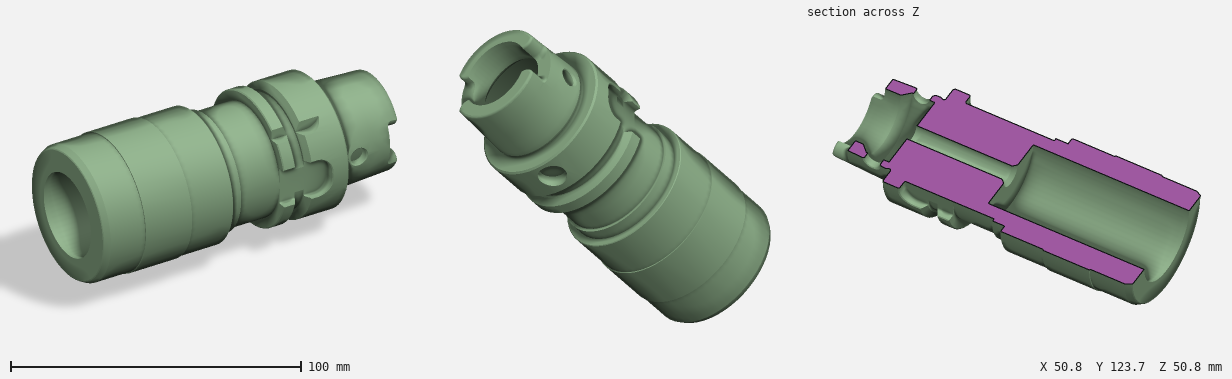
import cadquery as cq
import math

LENGTH = 123.7
SHANK_LENGTH = 25.0
NOSE_Y = SHANK_LENGTH - LENGTH

TAPER_END_RADIUS = 18.0
TAPER_BASE_RADIUS = 19.2
TAPER_BASE_Y = 2.0
TAPER_TIP_ROUND = 0.9
RELIEF_RADIUS = 18.7
RELIEF_BEVEL_LENGTH = 1.1
RELIEF_ROUND = 0.6

FLANGE_RADIUS = 25.0
FLANGE_LENGTH = 26.0
FLANGE_FRONT_BEVEL = 0.6
FLANGE_BACK_BEVEL = 0.4
GROOVE_RADIUS = 21.5
GROOVE_WALL_RADIUS = 22.4
GROOVE_Y = -18.0
GROOVE_WIDTH = 3.7
GROOVE_FLANK_ANGLE = 30.0

NECK_RADIUS = 21.0
COLLAR_RADIUS = 22.1
COLLAR_Y = -42.0
BODY_RADIUS = 25.0
BODY_Y = -46.9
BODY_BEVEL = 0.2
SLEEVE_RADIUS = 50.8 / 2
SLEEVE_START_Y = -63.8
SLEEVE_END_Y = -82.5
NOSE_BEVEL_LENGTH = 2.4
NOSE_BEVEL_DEPTH = 1.5
NOSE_EDGE_LENGTH = 0.2
NOSE_EDGE_DEPTH = 0.4

CLAMP_BORE_RADIUS = 15.6
CLAMP_BORE_DEPTH = 61.8
SHANK_BORE_RADIUS = 13.0
CHAMBER_RADIUS = 15.8
CHAMBER_Y = 11.4
CHAMBER_FLOOR_Y = 2.5
THROUGH_RADIUS = 3.4
THROUGH_MOUTH_RADIUS = 4.8
MOUTH_CONE_DEPTH = 1.5

SLOT_HALF_WIDTH = 5.2
SLOT_FLAT_X = 16.1
SLOT_LIP_RADIUS = 3.7
SLOT_FLOOR_ROUND = 1.5
SLOT_INNER_X = 8.7
DEEP_SLOT_DEPTH = 7.5
SHALLOW_SLOT_DEPTH = 4.6

COOLANT_RADIUS = 3.1
COOLANT_MOUTH_RADIUS = 3.7
COOLANT_MOUTH_DEPTH = 0.6
COOLANT_Y = 7.7

KEYWAY_FLOOR_X = NECK_RADIUS
KEYWAY_HALF_WIDTH = 7.0
KEYWAY_END_Y = -6.8
KEYWAY_CORNER_RADIUS = 5.6
KEYWAY_FLOOR_ROUND = 0.6
KEYWAY_EDGE_BEVEL = 0.4
RIM_INNER_X = 23.8

NOTCH_OFFSET = 15.7
NOTCH_HALF_WIDTH = 5.8
NOTCH_CORNER_RADIUS = 5.7
NOTCH_END_Y = -6.5
CHIP_RADIUS = 5.1
CHIP_Y = -7.0
CHIP_DEPTH = 4.6

OUTSIDE = 30.9
OPEN_END_RUN = 1.2


def revolve_about_y(outline):
    return outline.close().revolve(360, (0, 0, 0), (0, 1, 0))


def make_body():
    nose_face_radius = BODY_RADIUS - NOSE_BEVEL_DEPTH
    flank_run = (FLANGE_RADIUS - GROOVE_WALL_RADIUS) * math.tan(math.radians(GROOVE_FLANK_ANGLE))
    groove_top_y = GROOVE_Y + GROOVE_WIDTH / 2
    groove_bottom_y = GROOVE_Y - GROOVE_WIDTH / 2
    round_mid = RELIEF_ROUND * (1 - math.sqrt(0.5))

    outline = (
        cq.Workplane("XY")
        .moveTo(0, NOSE_Y)
        .lineTo(nose_face_radius, NOSE_Y)
        .lineTo(nose_face_radius + NOSE_EDGE_DEPTH, NOSE_Y + NOSE_EDGE_LENGTH)
        .lineTo(BODY_RADIUS, NOSE_Y + NOSE_BEVEL_LENGTH)
        .lineTo(BODY_RADIUS, SLEEVE_END_Y)
        .lineTo(SLEEVE_RADIUS, SLEEVE_END_Y)
        .lineTo(SLEEVE_RADIUS, SLEEVE_START_Y)
        .lineTo(BODY_RADIUS, SLEEVE_START_Y)
        .lineTo(BODY_RADIUS, BODY_Y - BODY_BEVEL)
        .lineTo(BODY_RADIUS - BODY_BEVEL, BODY_Y)
        .lineTo(COLLAR_RADIUS, BODY_Y)
        .lineTo(COLLAR_RADIUS, COLLAR_Y)
        .lineTo(NECK_RADIUS, COLLAR_Y)
        .lineTo(NECK_RADIUS, -FLANGE_LENGTH)
        .lineTo(FLANGE_RADIUS - FLANGE_BACK_BEVEL, -FLANGE_LENGTH)
        .lineTo(FLANGE_RADIUS, FLANGE_BACK_BEVEL - FLANGE_LENGTH)
        .lineTo(FLANGE_RADIUS, groove_bottom_y - flank_run)
        .lineTo(GROOVE_WALL_RADIUS, groove_bottom_y)
        .lineTo(GROOVE_RADIUS, groove_bottom_y)
        .lineTo(GROOVE_RADIUS, groove_top_y)
        .lineTo(GROOVE_WALL_RADIUS, groove_top_y)
        .lineTo(FLANGE_RADIUS, groove_top_y + flank_run)
        .lineTo(FLANGE_RADIUS, -FLANGE_FRONT_BEVEL)
        .lineTo(FLANGE_RADIUS - FLANGE_FRONT_BEVEL, 0)
        .lineTo(RELIEF_RADIUS + RELIEF_ROUND, 0)
        .threePointArc((RELIEF_RADIUS + round_mid, round_mid), (RELIEF_RADIUS, RELIEF_ROUND))
        .lineTo(RELIEF_RADIUS, TAPER_BASE_Y - RELIEF_BEVEL_LENGTH)
        .lineTo(TAPER_BASE_RADIUS, TAPER_BASE_Y)
        .lineTo(TAPER_END_RADIUS, SHANK_LENGTH)
        .lineTo(0, SHANK_LENGTH)
    )
    return revolve_about_y(outline)


def make_bores():
    clamp_floor_y = NOSE_Y + CLAMP_BORE_DEPTH
    shoulder_y = CHAMBER_Y + CHAMBER_RADIUS - SHANK_BORE_RADIUS
    outline = (
        cq.Workplane("XY")
        .moveTo(0, NOSE_Y)
        .lineTo(CLAMP_BORE_RADIUS, NOSE_Y)
        .lineTo(CLAMP_BORE_RADIUS, clamp_floor_y)
        .lineTo(THROUGH_MOUTH_RADIUS, clamp_floor_y)
        .lineTo(THROUGH_RADIUS, clamp_floor_y + MOUTH_CONE_DEPTH)
        .lineTo(THROUGH_RADIUS, CHAMBER_FLOOR_Y)
        .lineTo(CHAMBER_RADIUS, CHAMBER_FLOOR_Y)
        .lineTo(CHAMBER_RADIUS, CHAMBER_Y)
        .lineTo(SHANK_BORE_RADIUS, shoulder_y)
        .lineTo(SHANK_BORE_RADIUS, SHANK_LENGTH)
        .lineTo(0, SHANK_LENGTH)
    )
    return revolve_about_y(outline)


def make_drive_slot(side, depth):
    """Slot whose walls roll over a rounded lip onto a flat; the floor edge is rounded."""
    lip_x = side * (SLOT_FLAT_X - SLOT_LIP_RADIUS)
    flat_x = side * SLOT_FLAT_X
    inner_x = side * SLOT_INNER_X
    outer_x = side * OUTSIDE
    lip_z = SLOT_HALF_WIDTH + SLOT_LIP_RADIUS
    lip_mid = SLOT_LIP_RADIUS * math.sqrt(0.5)
    mid_x = lip_x + side * lip_mid
    mid_z = lip_z - lip_mid
    profile = (
        cq.Workplane("XZ", origin=(0, SHANK_LENGTH - depth, 0))
        .moveTo(inner_x, -SLOT_HALF_WIDTH)
        .lineTo(lip_x, -SLOT_HALF_WIDTH)
        .threePointArc((mid_x, -mid_z), (flat_x, -lip_z))
        .lineTo(flat_x, -OUTSIDE)
        .lineTo(outer_x, -OUTSIDE)
        .lineTo(outer_x, OUTSIDE)
        .lineTo(flat_x, OUTSIDE)
        .lineTo(flat_x, lip_z)
        .threePointArc((mid_x, mid_z), (lip_x, SLOT_HALF_WIDTH))
        .lineTo(inner_x, SLOT_HALF_WIDTH)
        .close()
    )
    return profile.extrude(-(depth + OPEN_END_RUN)).faces("<Y").edges().fillet(SLOT_FLOOR_ROUND)


def make_coolant_hole():
    return cq.Workplane("YZ").center(COOLANT_Y, 0).circle(COOLANT_RADIUS).extrude(OUTSIDE, both=True)


def make_coolant_mouth(side):
    """Countersink that reaches its full radius on the taper surface."""
    taper_slope = (TAPER_BASE_RADIUS - TAPER_END_RADIUS) / (SHANK_LENGTH - TAPER_BASE_Y)
    surface_radius = TAPER_BASE_RADIUS - taper_slope * (COOLANT_Y - TAPER_BASE_Y)
    flare = (COOLANT_MOUTH_RADIUS - COOLANT_RADIUS) / COOLANT_MOUTH_DEPTH
    tip = cq.Vector(side * (surface_radius - COOLANT_MOUTH_RADIUS / flare), COOLANT_Y, 0)
    length = COOLANT_MOUTH_RADIUS / flare + OPEN_END_RUN
    return cq.Workplane(cq.Solid.makeCone(0, flare * length, length, tip, cq.Vector(side, 0, 0)))


def make_side_slot(floor_x, z, half_width, corner_radius, end_y, side=1):
    """Slot milled along X down to floor_x, open past the flange back, with rounded end corners."""
    length = end_y + FLANGE_LENGTH + OPEN_END_RUN
    center = (side * floor_x, end_y - length / 2, z)
    slot = cq.Workplane("YZ", origin=center).rect(length, 2 * half_width).extrude(side * (OUTSIDE - floor_x))
    return slot.faces(">Y").edges("|X").fillet(corner_radius)


def make_keyway(side):
    slot = make_side_slot(
        KEYWAY_FLOOR_X, 0, KEYWAY_HALF_WIDTH, KEYWAY_CORNER_RADIUS, KEYWAY_END_Y, side
    )
    floor = "<X" if side > 0 else ">X"
    return slot.faces(floor).edges().fillet(KEYWAY_FLOOR_ROUND)


def make_index_notch():
    notch_z = NOTCH_OFFSET + NOTCH_HALF_WIDTH
    return make_side_slot(NOTCH_OFFSET, notch_z, NOTCH_HALF_WIDTH, NOTCH_CORNER_RADIUS, NOTCH_END_Y)


def keyway_rim(side):
    """Selects the keyway edges that lie on the outer flange surface."""
    z_limit = KEYWAY_HALF_WIDTH + KEYWAY_EDGE_BEVEL
    return cq.selectors.BoxSelector(
        (side * RIM_INNER_X, -FLANGE_LENGTH + FLANGE_BACK_BEVEL, -z_limit),
        (side * OUTSIDE, -FLANGE_FRONT_BEVEL, z_limit),
    )


def make_chip_pocket():
    floor_z = CHIP_DEPTH - FLANGE_RADIUS
    return cq.Workplane("XY", origin=(0, CHIP_Y, floor_z)).circle(CHIP_RADIUS).extrude(-OUTSIDE - floor_z)


result = make_body()
result = result.cut(make_coolant_hole())
for side in (-1, 1):
    result = result.cut(make_coolant_mouth(side))
result = result.cut(make_drive_slot(-1, DEEP_SLOT_DEPTH))
result = result.cut(make_drive_slot(1, SHALLOW_SLOT_DEPTH))
result = result.faces(">Y").edges().fillet(TAPER_TIP_ROUND)
result = result.cut(make_bores())
for side in (-1, 1):
    result = result.cut(make_keyway(side))
    result = result.edges(keyway_rim(side)).chamfer(KEYWAY_EDGE_BEVEL)
result = result.cut(make_index_notch())
result = result.cut(make_chip_pocket())